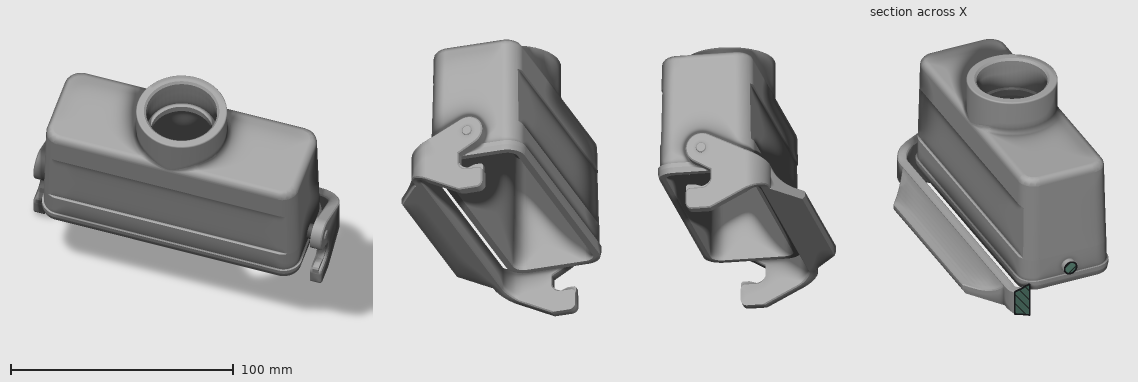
import cadquery as cq
import math


pick_margin = 0.1
cut_clearance = 1.4

hood_half_x = 60.0
hood_half_y = 21.6
corner_radius = 7.5
hood_top_z = 57.1
draft_angle = 1.2
top_edge_radius = 3.1

rim_overhang = 1.0
rim_top_z = 4.5
rim_lip_z = 2.5
rim_lip_inset = 0.5

recess_bottom_z = 15.2
recess_top_z = 42.3
recess_depth = 1.02
recess_edge_slope = 0.4

wall = 2.7
roof = 2.0

neck_diameter = 41.0
neck_top_z = 73.2
neck_edge_radius = 0.7
neck_root_radius = 2.0
counterbore_diameter = 32.0
counterbore_depth = 15.0
counterbore_chamfer = 1.0
bore_diameter = 28.0

pivot_z = 8.6
pin_tip_x = 68.3
pin_diameter = 4.8
pin_tip_chamfer = 0.4
collar_diameter = 7.0
collar_chamfer = 0.4

leg_outer_x = 67.8
leg_thickness = 5.2
leg_inner_x = leg_outer_x - leg_thickness
back_outer_y = 29.2
back_thickness = 4.2
bend_radius_x = 11.2
bend_radius_y = 9.4
bend_x = leg_outer_x - bend_radius_x
bend_steps = 12
bend_y = back_outer_y - bend_radius_y
lever_edge_chamfer = 0.5

pivot_radius = 7.1
leg_rear_top_z = 6.7
leg_rear_bottom_z = -12.3
back_top_z = 3.0
back_bottom_z = -8.3
leg_bottom_z = -20.2
leg_bottom_rear_y = 4.1

hook_wall_y = 4.2
hook_mouth_z = -2.0
hook_center_z = -6.0
hook_radius = 4.2
hook_center_y = hook_wall_y - hook_radius
hook_floor_z = hook_center_z - hook_radius
hook_tip_y = -7.1
tip_top_radius = 2.0
tip_bottom_radius = 2.9

rib_width = 2.7
rib_floor_z = -9.4
rib_crest_z = -8.3
rib_crest_y = -3.3
rib_arc_y = 2.9
rib_arc_z = -8.0
rib_offset = 1.2
rib_inner_x = leg_inner_x + rib_offset
rib_base_z = -11.6
rib_tip_chamfer = 0.7

handle_half_x = 36.7
handle_root_half_x = 53.8
handle_tip_y = 41.5
handle_tip_top_z = -4.0
handle_curve_radius = 9.5
handle_flat_y = 38.1
handle_curve_length = handle_flat_y - back_outer_y
handle_root_z = (
    handle_tip_top_z + handle_curve_radius - math.sqrt(handle_curve_radius**2 - handle_curve_length**2)
)
handle_chamfer_y = 1.0
handle_chamfer_z = 1.6
handle_top_chamfer = 0.4


def draft_inset(z):
    """Distance the drafted hood wall has moved inward at height z."""
    return math.tan(math.radians(draft_angle)) * (z - recess_bottom_z)


def rounded_prism(half_x, half_y, radius, bottom_z, height, taper=0):
    """Rounded rectangle around the Z axis, extruded up (or down) with an optional draft."""
    outline = cq.Sketch().rect(2 * half_x, 2 * half_y).vertices().fillet(radius)
    return cq.Workplane(origin=(0, 0, bottom_z)).placeSketch(outline).extrude(height, taper=taper)


def x_cylinder(diameter, start_x, end_x):
    """Cylinder on the hinge axis."""
    disc = cq.Workplane("YZ", origin=(start_x, 0, pivot_z)).circle(diameter / 2)
    return disc.extrude(end_x - start_x)


def both_ends(shape):
    """The shape and its mirror image on the other X side."""
    return shape.union(shape.mirror("YZ"))


def hood_block():
    """Solid outside of the hood: rim, straight band, drafted body and cable neck."""
    body = cq.Workplane(origin=(0, 0, recess_bottom_z)).rect(2 * hood_half_x, 2 * hood_half_y)
    body = body.extrude(hood_top_z - recess_bottom_z, taper=draft_angle)
    body = body.edges("not (|X or |Y)").fillet(corner_radius)
    body = body.faces(">Z").edges().fillet(top_edge_radius)

    neck = cq.Workplane(origin=(0, 0, recess_top_z)).circle(neck_diameter / 2)
    neck = neck.extrude(neck_top_z - recess_top_z)
    neck = neck.faces(">Z").edges().fillet(neck_edge_radius)
    body = body.union(neck)
    root_half = neck_diameter / 2 + pick_margin
    root_edges = cq.selectors.BoxSelector(
        (-root_half, -root_half, hood_top_z - top_edge_radius),
        (root_half, root_half, hood_top_z + pick_margin),
    )
    body = body.edges(root_edges).fillet(neck_root_radius)

    band = rounded_prism(hood_half_x, hood_half_y, corner_radius, 0, recess_bottom_z)
    rim_half_x = hood_half_x + rim_overhang
    rim_half_y = hood_half_y + rim_overhang
    rim_radius = corner_radius + rim_overhang
    rim = rounded_prism(rim_half_x, rim_half_y, rim_radius, rim_lip_z, rim_top_z - rim_lip_z)
    lip_taper = math.degrees(math.atan(rim_lip_inset / rim_lip_z))
    lip = rounded_prism(rim_half_x, rim_half_y, rim_radius, rim_lip_z, -rim_lip_z, lip_taper)
    return body.union(band).union(rim).union(lip)


def recess_cutter():
    """Label recess: a drafted slab that trims the -Y long side between two heights."""
    bottom_y = hood_half_y - recess_depth
    top_y = bottom_y - draft_inset(recess_top_z)
    mouth_top_y = hood_half_y - draft_inset(recess_top_z)
    clear_y = hood_half_y + cut_clearance
    slab = (
        cq.Workplane("YZ")
        .moveTo(-bottom_y, recess_bottom_z + recess_edge_slope)
        .lineTo(-top_y, recess_top_z - recess_edge_slope)
        .lineTo(-mouth_top_y, recess_top_z)
        .lineTo(-clear_y, recess_top_z)
        .lineTo(-clear_y, recess_bottom_z)
        .lineTo(-hood_half_y, recess_bottom_z)
        .close()
    )
    return slab.extrude(hood_half_x, both=True)


def cavity_cutter():
    """Hollow inside of the hood, drafted like its outside."""
    return rounded_prism(
        hood_half_x - wall, hood_half_y - wall, corner_radius - wall, 0, hood_top_z - roof, draft_angle
    )


def bore_cutter():
    """Stepped cable bore with a chamfered mouth."""
    mouth_radius = counterbore_diameter / 2 + counterbore_chamfer
    floor_z = neck_top_z - counterbore_depth
    profile = (
        cq.Workplane("XZ")
        .moveTo(0, recess_top_z)
        .lineTo(bore_diameter / 2, recess_top_z)
        .lineTo(bore_diameter / 2, floor_z)
        .lineTo(counterbore_diameter / 2, floor_z)
        .lineTo(counterbore_diameter / 2, neck_top_z - counterbore_chamfer)
        .lineTo(mouth_radius, neck_top_z)
        .lineTo(0, neck_top_z)
        .close()
    )
    return profile.revolve(360, (0, 0, 0), (0, 1, 0))


def hinge_pin():
    """Collar and pin on the +X end, rooted in the hood wall."""
    root_x = hood_half_x - wall / 2
    collar = x_cylinder(collar_diameter, root_x, leg_inner_x).faces(">X").edges().chamfer(collar_chamfer)
    pin = x_cylinder(pin_diameter, root_x, pin_tip_x).faces(">X").edges().chamfer(pin_tip_chamfer)
    return collar.union(pin)


def build_hood():
    hood = hood_block()
    recess = recess_cutter()
    hood = hood.cut(recess).cut(recess.mirror("XZ"))
    hood = hood.cut(cavity_cutter()).cut(bore_cutter())
    return hood.union(both_ends(hinge_pin()))


def tangent_point(y, z, side):
    """Touch point on the pivot circle of a line from (y, z); side picks one of the two tangents."""
    distance = math.hypot(y, z - pivot_z)
    angle = math.atan2(z - pivot_z, y) + side * math.acos(pivot_radius / distance)
    return pivot_radius * math.cos(angle), pivot_z + pivot_radius * math.sin(angle)


def tip_corner_box(z):
    """Selector for the edge along X at the hook tip and height z."""
    return cq.selectors.BoxSelector(
        (leg_inner_x, hook_tip_y - pick_margin, z - pick_margin),
        (leg_outer_x, hook_tip_y + pick_margin, z + pick_margin),
    )


def leg():
    """Flat leg on the +X end: pivot eye, hook and the slopes up to the bend."""
    eye_top = tangent_point(bend_y, leg_rear_top_z, 1)
    eye_bottom = tangent_point(hook_wall_y, hook_mouth_z, -1)
    diagonal = hook_radius * math.sqrt(0.5)
    outline = (
        cq.Workplane("YZ", origin=(leg_inner_x, 0, 0))
        .moveTo(bend_y, leg_rear_top_z)
        .lineTo(*eye_top)
        .threePointArc((-pivot_radius, pivot_z), eye_bottom)
        .lineTo(hook_wall_y, hook_mouth_z)
        .lineTo(hook_wall_y, hook_center_z)
        .threePointArc((hook_center_y + diagonal, hook_center_z - diagonal), (hook_center_y, hook_floor_z))
        .lineTo(hook_tip_y, hook_floor_z)
        .lineTo(hook_tip_y, leg_bottom_z)
        .lineTo(leg_bottom_rear_y, leg_bottom_z)
        .lineTo(bend_y, leg_rear_bottom_z)
        .close()
    )
    plate = outline.extrude(leg_thickness)
    plate = plate.edges(tip_corner_box(hook_floor_z)).fillet(tip_top_radius)
    return plate.edges(tip_corner_box(leg_bottom_z)).fillet(tip_bottom_radius)


def bend():
    """Quarter bend from the +X leg to the back plate; its top and bottom edges climb or sink evenly."""
    leg_z = (leg_rear_bottom_z, leg_rear_top_z)
    back_z = (back_bottom_z, back_top_z)
    radii = {
        "outer": (bend_radius_x, bend_radius_y),
        "inner": (bend_radius_x - leg_thickness, bend_radius_y - back_thickness),
    }

    def corner_curve(side, level):
        """Edge along one corner of the bend; level 0 is its bottom and 1 its top."""
        radius_x, radius_y = radii[side]
        points = []
        for step in range(bend_steps + 1):
            angle = math.pi / 2 * step / bend_steps
            rise = math.sin(angle)
            points.append(
                cq.Vector(
                    bend_x + radius_x * math.cos(angle),
                    bend_y + radius_y * rise,
                    leg_z[level] + (back_z[level] - leg_z[level]) * rise,
                )
            )
        return cq.Edge.makeSpline(points)

    corners = [("outer", 0), ("outer", 1), ("inner", 1), ("inner", 0)]
    loop = [corner_curve(side, level) for side, level in corners]
    faces = []
    for first, second in zip(loop, loop[1:] + loop[:1]):
        faces.append(cq.Face.makeRuledSurface(first, second))
    for point in (cq.Edge.startPoint, cq.Edge.endPoint):
        faces.append(cq.Face.makeFromWires(cq.Wire.makePolygon([point(edge) for edge in loop], close=True)))
    return cq.Workplane(cq.Solid.makeSolid(cq.Shell.makeShell(faces)))


def back_plate():
    plate = cq.Workplane(origin=(0, back_outer_y - back_thickness / 2, back_bottom_z))
    return plate.box(2 * bend_x, back_thickness, back_top_z - back_bottom_z, centered=(True, True, False))


def hook_rib():
    """Narrow rib along the floor of the +X hook, with a crest at the tip that snaps over a stud."""
    outline = (
        cq.Workplane("YZ", origin=(rib_inner_x, 0, 0))
        .moveTo(hook_wall_y, hook_center_z)
        .threePointArc((rib_arc_y, rib_arc_z), (hook_center_y, rib_floor_z))
        .lineTo(rib_crest_y, rib_crest_z)
        .lineTo(hook_tip_y + rib_tip_chamfer, rib_crest_z)
        .lineTo(hook_tip_y, rib_crest_z - rib_tip_chamfer)
        .lineTo(hook_tip_y, rib_base_z)
        .lineTo(hook_wall_y, rib_base_z)
        .close()
    )
    return outline.extrude(rib_width)


def handle():
    """Thumb tab behind the back plate: concave top, flat bottom, sides tapering to the tip."""
    curve_z = handle_tip_top_z + handle_curve_radius
    root_y = back_outer_y - back_thickness / 2
    run = handle_curve_radius * math.sqrt(0.5)
    section = (
        cq.Workplane("YZ")
        .moveTo(root_y, back_bottom_z)
        .lineTo(handle_tip_y - handle_chamfer_y, back_bottom_z)
        .lineTo(handle_tip_y, back_bottom_z + handle_chamfer_z)
        .lineTo(handle_tip_y, handle_tip_top_z - handle_top_chamfer)
        .lineTo(handle_tip_y - handle_top_chamfer, handle_tip_top_z)
        .lineTo(handle_flat_y, handle_tip_top_z)
        .threePointArc((handle_flat_y - run, curve_z - run), (back_outer_y, handle_root_z))
        .lineTo(root_y, handle_root_z)
        .close()
        .extrude(bend_x, both=True)
    )
    plan = (
        cq.Workplane(origin=(0, 0, back_bottom_z))
        .polyline(
            [
                (-handle_root_half_x, root_y),
                (-handle_root_half_x, back_outer_y),
                (-handle_half_x, handle_tip_y),
                (handle_half_x, handle_tip_y),
                (handle_root_half_x, back_outer_y),
                (handle_root_half_x, root_y),
            ]
        )
        .close()
        .extrude(back_top_z - back_bottom_z)
    )
    tab = section.intersect(plan)
    top_edges = tab.edges(
        cq.selectors.BoxSelector(
            (-handle_root_half_x, back_outer_y + pick_margin, handle_tip_top_z - pick_margin),
            (handle_root_half_x, handle_tip_y, handle_root_z),
        )
    )
    return top_edges.edges("not |X").chamfer(handle_top_chamfer)


def build_lever():
    bow = both_ends(leg().union(bend())).union(back_plate())
    outer_edges = bow.faces(">X or <X or >Y").edges()
    bend_edges = bow.edges("%BSPLINE")
    inner_slopes = bow.edges(
        cq.selectors.BoxSelector(
            (-leg_inner_x - pick_margin, hook_wall_y + pick_margin, leg_bottom_z),
            (leg_inner_x + pick_margin, bend_y - pick_margin, pivot_z + pivot_radius),
        )
    )
    bow = outer_edges.add(bend_edges).add(inner_slopes).chamfer(lever_edge_chamfer)
    eye = x_cylinder(2 * pivot_radius, leg_inner_x, leg_inner_x + leg_thickness / 2)
    bow = bow.union(both_ends(eye))
    lever = bow.union(handle()).union(both_ends(hook_rib()))
    pin_hole = x_cylinder(pin_diameter, -pin_tip_x, pin_tip_x)
    return lever.cut(pin_hole)


hood = build_hood()
lever = build_lever()
result = cq.Compound.makeCompound([hood.val(), lever.val()])